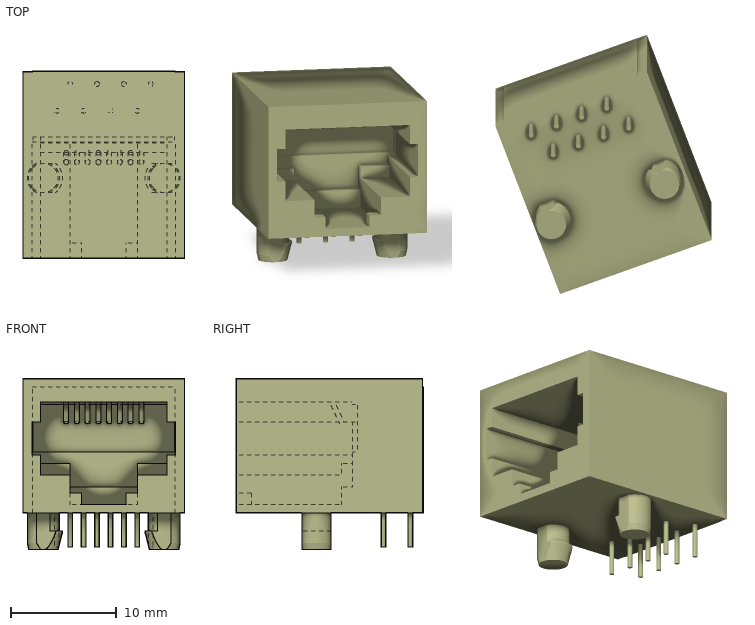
import cadquery as cq
import math

BODY_WIDTH = 15.3
BODY_DEPTH = 17.66
BODY_HEIGHT = 12.7

COVER_WIDTH = 13.46
COVER_HEIGHT = 11.9
COVER_PROUD = 0.08
COVER_OVERLAP = 1.0

MAIN_HALF_WIDTH = 6.0
EAR_HALF_WIDTH = 6.8
LATCH_HALF_WIDTH = 3.2
MOUTH_HALF_WIDTH = 2.12
CEILING_Z = 10.46
EAR_TOP_Z = 8.6
EAR_BOTTOM_Z = 5.45
SHOULDER_Z = 3.57
MOUTH_TOP_Z = 1.87
FLOOR_Z = 0.77
SOCKET_DEPTH = 11.0
LIP_THICKNESS = 1.45

LEDGE_LENGTH = 1.0
WING_LEDGE_Z = 4.65
LATCH_LEDGE_Z = 2.44

RECESS_DEPTH = 0.5
RECESS_CEILING_Z = 10.26
RECESS_FLOOR_Z = 5.73
RECESS_EAR_HALF_WIDTH = 6.7

STRIP_DEPTH = 0.08

WIRE_DIAMETER = 0.46
CONTACT_COUNT = 8
CONTACT_PITCH = 1.016
CONTACT_TIP_Z = 8.54
CONTACT_TIP_Y = 10.0
CONTACT_TILT = 25.0
CONTACT_ROOT = 0.6

PIN_COUNT = 8
PIN_PITCH = 1.27
PIN_ROW_SPACING = 2 * PIN_PITCH
PIN_LENGTH = 3.25

PEG_X = 5.715
PEG_Y = 7.61
PEG_LENGTH = 3.5
PEG_RADIUS = 1.525
PEG_TIP_RADIUS = 1.39
PEG_FLAT_WIDTH = 2.77
PEG_TAPER_Z = -2.88
CATCH_RADIUS = 1.81
CATCH_TOP_Z = -1.72
CATCH_RIM_Z = -1.87

PEG_TO_PIN_PITCHES = 5
FRONT_PIN_ROW_Y = PEG_Y + PEG_TO_PIN_PITCHES * PIN_PITCH


def block(half_width, y_front, y_back, z_low, z_high):
    """Box centred on x = 0 between the given y and z limits."""
    size = (2 * half_width, y_back - y_front, z_high - z_low)
    return cq.Workplane("XY").box(*size, centered=(True, False, False)).translate((0, y_front, z_low))


def centred_positions(count, pitch):
    """Evenly spaced positions, symmetric about zero."""
    return [(index - (count - 1) / 2) * pitch for index in range(count)]


def make_housing():
    cover_back = BODY_DEPTH + COVER_PROUD
    housing = block(BODY_WIDTH / 2, 0, BODY_DEPTH, 0, BODY_HEIGHT)
    return housing.union(block(COVER_WIDTH / 2, BODY_DEPTH - COVER_OVERLAP, cover_back, 0, COVER_HEIGHT))


def make_socket():
    """Solid with the shape of the empty plug space."""
    ledge_front = SOCKET_DEPTH - LEDGE_LENGTH
    recess_back = SOCKET_DEPTH + RECESS_DEPTH
    cavities = [
        block(MAIN_HALF_WIDTH, 0, ledge_front, SHOULDER_Z, CEILING_Z),
        block(MAIN_HALF_WIDTH, 0, SOCKET_DEPTH, WING_LEDGE_Z, CEILING_Z),
        block(EAR_HALF_WIDTH, 0, SOCKET_DEPTH, EAR_BOTTOM_Z, EAR_TOP_Z),
        block(LATCH_HALF_WIDTH, 0, SOCKET_DEPTH, LATCH_LEDGE_Z, EAR_BOTTOM_Z),
        block(LATCH_HALF_WIDTH, 0, ledge_front, MOUTH_TOP_Z, EAR_BOTTOM_Z),
        block(LATCH_HALF_WIDTH, LIP_THICKNESS, ledge_front, FLOOR_Z, EAR_BOTTOM_Z),
        block(MOUTH_HALF_WIDTH, 0, ledge_front, FLOOR_Z, EAR_BOTTOM_Z),
        block(MAIN_HALF_WIDTH, 0, recess_back, RECESS_FLOOR_Z, RECESS_CEILING_Z),
        block(RECESS_EAR_HALF_WIDTH, 0, recess_back, RECESS_FLOOR_Z, EAR_TOP_Z),
    ]
    socket = cavities[0]
    for cavity in cavities[1:]:
        socket = socket.union(cavity)
    return socket


def make_ceiling_strip():
    """Wedge under the back edge of the socket ceiling."""
    section = [
        (SOCKET_DEPTH - STRIP_DEPTH, CEILING_Z),
        (SOCKET_DEPTH, CEILING_Z),
        (SOCKET_DEPTH, RECESS_CEILING_Z),
    ]
    wedge = cq.Workplane("YZ").polyline(section).close()
    return wedge.extrude(MAIN_HALF_WIDTH, both=True)


def make_contact(x):
    tilt = math.radians(CONTACT_TILT)
    length = (CEILING_Z - CONTACT_TIP_Z) / math.cos(tilt) + CONTACT_ROOT
    tip = cq.Vector(x, CONTACT_TIP_Y, CONTACT_TIP_Z)
    upward = cq.Vector(0, -math.sin(tilt), math.cos(tilt))
    return cq.Workplane(cq.Solid.makeCylinder(WIRE_DIAMETER / 2, length, tip, upward))


def make_pin(x, y):
    pin = cq.Workplane("XY").center(x, y).circle(WIRE_DIAMETER / 2)
    return pin.extrude(-PIN_LENGTH)


def make_half_peg(side, flank):
    """Half-turn peg on one side of its axis; flank lists the (radius, z) points below the shank top."""
    profile = [(0, 0), (PEG_RADIUS, 0), *flank, (PEG_TIP_RADIUS, -PEG_LENGTH), (0, -PEG_LENGTH)]
    round_peg = cq.Workplane("XZ").polyline(profile).close().revolve(360, (0, 0), (0, 1))
    half_space = cq.Workplane("XY").box(CATCH_RADIUS, 2 * CATCH_RADIUS, PEG_LENGTH)
    return round_peg.intersect(half_space.translate((side * CATCH_RADIUS / 2, 0, -PEG_LENGTH / 2)))


def make_peg(side):
    """Peg with front and back flats; the catch faces the middle of the part."""
    catch_profile = [
        (PEG_RADIUS, CATCH_TOP_Z),
        (CATCH_RADIUS, CATCH_TOP_Z),
        (CATCH_RADIUS, CATCH_RIM_Z),
    ]
    plain_half = make_half_peg(side, [(PEG_RADIUS, PEG_TAPER_Z)])
    catch_half = make_half_peg(-side, catch_profile)
    flats = block(2 * PEG_RADIUS, -PEG_FLAT_WIDTH / 2, PEG_FLAT_WIDTH / 2, -PEG_LENGTH, 0)
    peg = plain_half.union(catch_half).intersect(flats)
    return peg.translate((side * PEG_X, PEG_Y, 0))


result = make_housing().cut(make_socket()).union(make_ceiling_strip())

for contact_x in centred_positions(CONTACT_COUNT, CONTACT_PITCH):
    result = result.union(make_contact(contact_x))

for number, pin_x in enumerate(centred_positions(PIN_COUNT, PIN_PITCH)):
    row = number % 2
    pin_y = FRONT_PIN_ROW_Y + row * PIN_ROW_SPACING
    result = result.union(make_pin(pin_x, pin_y))

for peg_side in (-1, 1):
    result = result.union(make_peg(peg_side))